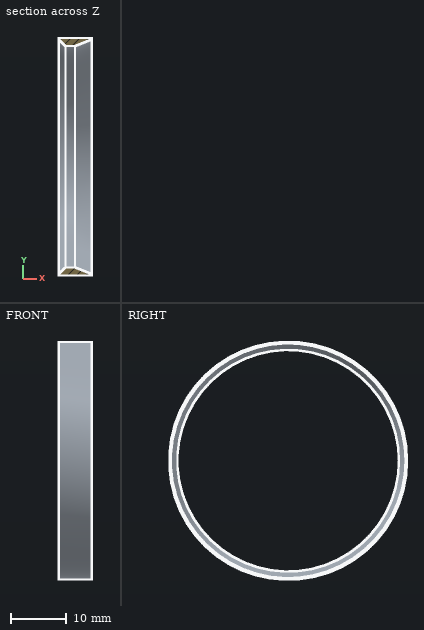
import cadquery as cq

width = 6.0
outer_diameter = 43.0
bore_diameter = 40.0
rim_thickness = 0.3

outer_radius = outer_diameter / 2
bore_radius = bore_diameter / 2
mouth_radius = outer_radius - rim_thickness
half_width = width / 2
steep_flare_depth = mouth_radius - bore_radius
land_start = -half_width + steep_flare_depth
land_end = 0.0

wall_section = [
    (-half_width, outer_radius),
    (half_width, outer_radius),
    (half_width, mouth_radius),
    (land_end, bore_radius),
    (land_start, bore_radius),
    (-half_width, mouth_radius),
]

result = (
    cq.Workplane("XY")
    .polyline(wall_section)
    .close()
    .revolve(360, (0, 0, 0), (1, 0, 0))
)